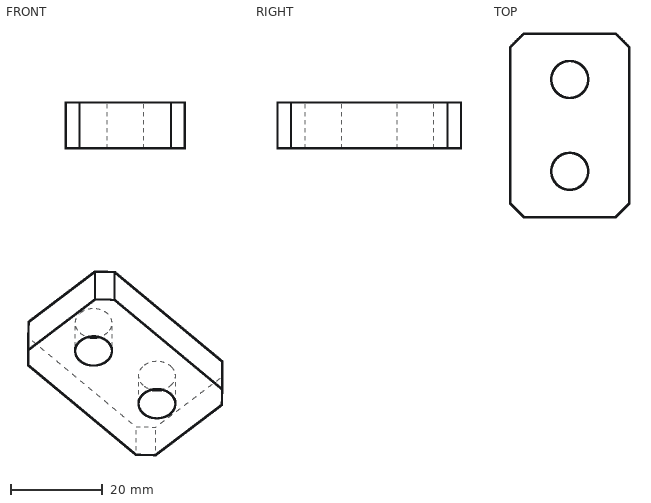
import cadquery as cq

width = 26.0
length = 40.0
thickness = 10.0

corner_chamfer = 3.0

hole_diameter = 8.0
hole_spacing = length / 2

block = (
    cq.Workplane("XY")
    .box(width, length, thickness, centered=(True, True, False))
    .edges("|Z")
    .chamfer(corner_chamfer)
)

result = (
    block.faces(">Z")
    .workplane()
    .pushPoints([(0, -hole_spacing / 2), (0, hole_spacing / 2)])
    .hole(hole_diameter)
)